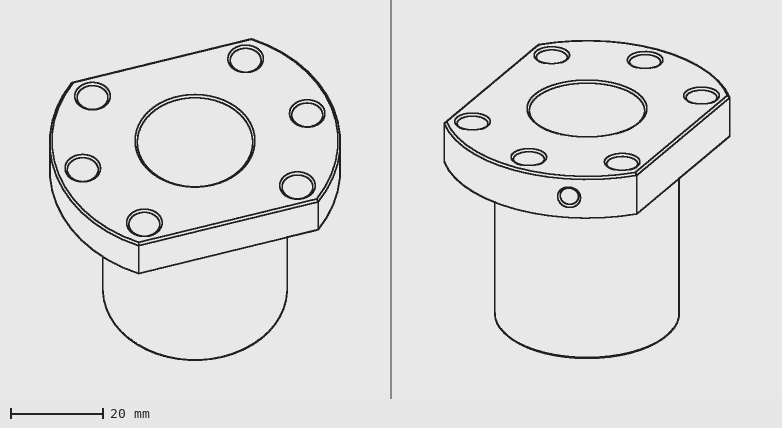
import math

import cadquery as cq

total_height = 51.0
edge_chamfer = 0.5

barrel_diameter = 40.0
bore_diameter = 25.0

flange_diameter = 63.0
flange_width = 48.0
flange_thickness = 10.0
flange_bottom = total_height - flange_thickness

mount_hole_diameter = 6.7
mount_circle_diameter = 51.0
mount_hole_step = 47.0

oil_hole_diameter = 4.0
oil_hole_depth = 10.0
oil_hole_angle = 112.5


def make_barrel():
    barrel = cq.Workplane("XY").circle(barrel_diameter / 2).extrude(total_height)
    return barrel.faces("<Z").edges().chamfer(edge_chamfer)


def make_flange():
    plane = cq.Workplane("XY", origin=(0, 0, flange_bottom))
    disc = plane.circle(flange_diameter / 2).extrude(flange_thickness)
    flats = plane.rect(flange_width, flange_diameter).extrude(flange_thickness)
    return disc.intersect(flats).faces(">Z").edges().chamfer(edge_chamfer)


def make_hole_cutter(diameter, depth):
    """Cutter from the origin down -Z, widened by a 45 degree cone at its mouth."""
    radius = diameter / 2
    profile = [
        (0, 0),
        (radius + edge_chamfer, 0),
        (radius, -edge_chamfer),
        (radius, -depth),
        (0, -depth),
    ]
    return cq.Workplane("XZ").polyline(profile).close().revolve(360, (0, 0), (0, 1))


def cut_bore(body):
    cutter = make_hole_cutter(bore_diameter, total_height)
    return body.cut(cutter.translate((0, 0, total_height)))


def cut_mount_holes(body):
    cutter = make_hole_cutter(mount_hole_diameter, flange_thickness)
    radius = mount_circle_diameter / 2
    for side_angle in (90.0, -90.0):
        for offset in (-mount_hole_step, 0.0, mount_hole_step):
            angle = math.radians(side_angle + offset)
            center = (radius * math.cos(angle), radius * math.sin(angle), total_height)
            body = body.cut(cutter.translate(center))
    return body


def cut_oil_hole(body):
    """Blind radial hole drilled inward from the flange rim, chamfered along its saddle-shaped mouth."""
    angle = math.radians(oil_hole_angle)
    outward = cq.Vector(math.cos(angle), math.sin(angle), 0)
    mid_flange = cq.Vector(0, 0, flange_bottom + flange_thickness / 2)
    mouth_center = mid_flange + outward * (flange_diameter / 2)
    rim_plane = cq.Plane(origin=mouth_center, normal=-outward)
    drill = cq.Workplane(rim_plane).circle(oil_hole_diameter / 2).extrude(oil_hole_depth)
    mouth_edge = cq.selectors.NearestToPointSelector(mouth_center)
    return body.cut(drill).edges(mouth_edge).chamfer(edge_chamfer)


result = make_flange().union(make_barrel())
result = cut_bore(result)
result = cut_mount_holes(result)
result = cut_oil_hole(result)